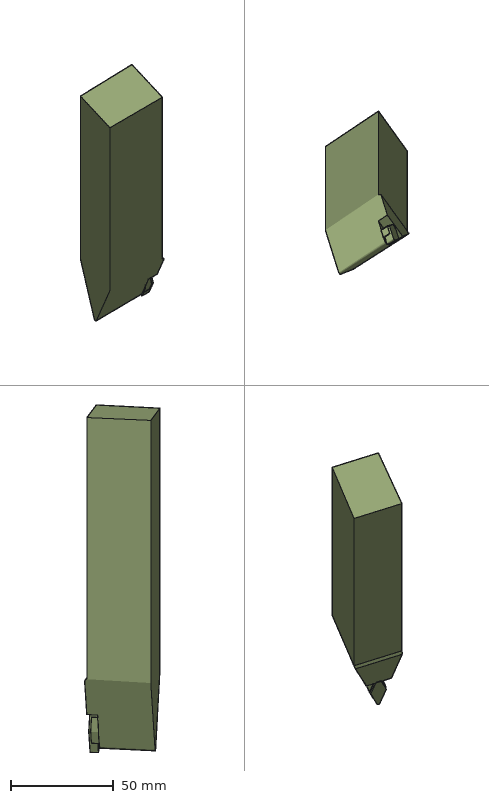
import cadquery as cq
import math

total_height = 171.4
shank_depth = 31.5
shank_width = 24.8
shank_back_width = 24.0
head_depth = 32.7

flank_top = 40.0
flank_drop = 0.5
holder_tip_height = 2.4
flank_angle = 17.0
lip_top = 40.3
lip_height = head_depth - shank_depth

seat_y = 27.5
seat_wall_z = 20.7

insert_top_y = 32.2
pad_corner_z = 11.8
insert_half_width = 4.1
nose_half_angle = 17.5
nose_radius = 0.7
nose_clearance = 0.7
flank_relief = 2.0
pad_top_y = 31.2
pad_height = 13.0
pad_half_width = 4.3
pad_corner_flat = 0.7


def wedge_section(y, width, flank_z):
    """Outline with a rounded point, symmetric about X = 0, in the XZ plane at the given Y."""
    half = width / 2
    angle = math.radians(flank_angle)
    sharp_z = flank_z - half / math.tan(angle)
    radius = (holder_tip_height - sharp_z) / (1 / math.sin(angle) - 1)
    tangent_x = radius * math.cos(angle)
    tangent_z = holder_tip_height + radius * (1 - math.sin(angle))
    return (
        cq.Workplane("XZ", origin=(0, y, 0))
        .moveTo(tangent_x, tangent_z)
        .lineTo(half, flank_z)
        .lineTo(half, total_height)
        .lineTo(-half, total_height)
        .lineTo(-half, flank_z)
        .lineTo(-tangent_x, tangent_z)
        .threePointArc((0, holder_tip_height), (tangent_x, tangent_z))
        .close()
        .val()
    )


def drafted_wedge():
    """Pointed bar whose sides lean inward towards Y = 0, up to the head depth."""
    back = wedge_section(0, shank_back_width, flank_top - flank_drop)
    front = wedge_section(head_depth, shank_width, flank_top)
    return cq.Workplane(cq.Solid.makeLoft([back, front], True))


def side_envelope():
    """Side profile of the holder: shank, proud head with sloped lip, and insert seat."""
    return (
        cq.Workplane("YZ")
        .moveTo(0, 0)
        .lineTo(seat_y, 0)
        .lineTo(seat_y, seat_wall_z)
        .lineTo(head_depth, seat_wall_z)
        .lineTo(head_depth, lip_top - lip_height)
        .lineTo(shank_depth, lip_top)
        .lineTo(shank_depth, total_height)
        .lineTo(0, total_height)
        .close()
        .extrude(shank_width, both=True)
    )


def make_holder():
    return drafted_wedge().intersect(side_envelope())


def insert_plane(y):
    """Plane whose extrusion runs towards -Y, with local x = X and local y = Z."""
    return cq.Workplane(cq.Plane((0, y, 0), (1, 0, 0), (0, -1, 0)))


def cutting_blade():
    """V-shaped blade with a rounded nose, relieved flanks and a flat end on the seat wall."""
    angle = math.radians(nose_half_angle)
    tangent_x = nose_radius * math.cos(angle)
    tangent_z = nose_radius * (1 - math.sin(angle))
    corner_z = tangent_z + (insert_half_width - tangent_x) / math.tan(angle)
    end_half_width = insert_half_width - (seat_wall_z - corner_z) * math.tan(angle)
    return (
        insert_plane(insert_top_y)
        .moveTo(tangent_x, tangent_z)
        .lineTo(insert_half_width, corner_z)
        .lineTo(end_half_width, seat_wall_z)
        .lineTo(-end_half_width, seat_wall_z)
        .lineTo(-insert_half_width, corner_z)
        .lineTo(-tangent_x, tangent_z)
        .threePointArc((0, 0), (tangent_x, tangent_z))
        .close()
        .extrude(insert_top_y - seat_y - nose_clearance, taper=flank_relief)
    )


def seating_pad():
    """Raised pad around the side corners, reaching down to the seat."""
    half_flat = pad_corner_flat / 2
    half_height = pad_height / 2
    end_half_width = pad_half_width - (half_height - half_flat) * math.tan(math.radians(nose_half_angle))
    outline = [
        (sx * x, pad_corner_z + sz * z)
        for sx, sz, x, z in (
            (1, -1, end_half_width, half_height),
            (1, -1, pad_half_width, half_flat),
            (1, 1, pad_half_width, half_flat),
            (1, 1, end_half_width, half_height),
            (-1, 1, end_half_width, half_height),
            (-1, 1, pad_half_width, half_flat),
            (-1, -1, pad_half_width, half_flat),
            (-1, -1, end_half_width, half_height),
        )
    ]
    return insert_plane(pad_top_y).polyline(outline).close().extrude(pad_top_y - seat_y)


def make_insert():
    return cutting_blade().union(seating_pad())


holder = make_holder()
insert = make_insert()
result = cq.Compound.makeCompound([holder.val(), insert.val()])